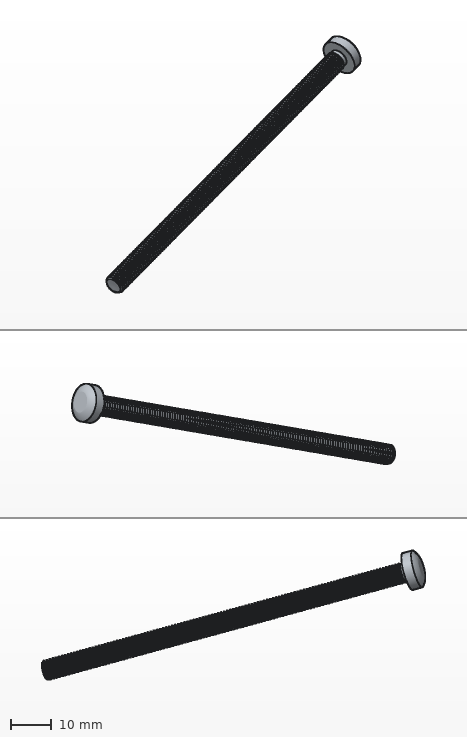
import cadquery as cq
import math

THREAD_DIAMETER = 5.0
PITCH = 0.8
SHANK_LENGTH = 95.0

HEAD_DIAMETER = 9.5
HEAD_HEIGHT = 3.7
HEAD_RIM_HEIGHT = 2.55
HEAD_TOP_DIAMETER = 5.2
HEAD_DOME_RADIUS = 4.0

NECK_DIAMETER = 4.6
NECK_LENGTH = 1.15

TIP_FACE_DIAMETER = 4.2
TIP_DIMPLE_DEPTH = 0.1

MAJOR_RADIUS = THREAD_DIAMETER / 2
FLANK_ANGLE = math.radians(30)
SHARP_HEIGHT = PITCH / (2 * math.tan(FLANK_ANGLE))
THREAD_DEPTH = SHARP_HEIGHT * 5 / 8
MINOR_RADIUS = MAJOR_RADIUS - THREAD_DEPTH
CREST_HALF = PITCH / 16
FOOT_HALF = CREST_HALF + THREAD_DEPTH * math.tan(FLANK_ANGLE)

CREST_PHASE = -0.2
START_ANGLE = -90

OVERRUN = 2 * PITCH

CLEARANCE = 1.0


def turned(outline):
    """Solid of revolution about Z from a closed outline of radius and height points."""
    return outline.close().revolve(360, (0, 0, 0), (0, 1, 0))


def thread_outline(crest_height):
    """Radius and height over one pitch, from the foot of one ridge to the foot of the next."""
    return [
        (MINOR_RADIUS, crest_height - FOOT_HALF),
        (MAJOR_RADIUS, crest_height - CREST_HALF),
        (MAJOR_RADIUS, crest_height + CREST_HALF),
        (MINOR_RADIUS, crest_height + FOOT_HALF),
        (MINOR_RADIUS, crest_height + PITCH - FOOT_HALF),
    ]


def helix_edge(radius, height):
    """One right-hand turn, starting on the XZ plane."""
    return cq.Wire.makeHelix(PITCH, PITCH, radius, cq.Vector(0, 0, height)).Edges()[0]


def turn_faces(crest_height):
    """Helical flank, crest and root faces of one turn."""
    helices = [helix_edge(radius, height) for radius, height in thread_outline(crest_height)]
    return [cq.Face.makeRuledSurface(lower, upper) for lower, upper in zip(helices, helices[1:])]


def end_faces(crest_height):
    """Helical ramp and flat step that close the thread at the start of the turn with this crest."""
    outline = thread_outline(crest_height)
    foot_height = outline[0][1]
    axis_edge = cq.Edge.makeLine(cq.Vector(0, 0, foot_height), cq.Vector(0, 0, foot_height + PITCH))
    ramp = cq.Face.makeRuledSurface(axis_edge, helix_edge(MINOR_RADIUS, foot_height))
    corners = [(0, foot_height)] + outline + [(0, foot_height + PITCH)]
    points = [cq.Vector(radius, 0, height) for radius, height in corners]
    step = cq.Face.makeFromWires(cq.Wire.makePolygon(points, close=True))
    return [ramp, step]


def whole_turns():
    """Threaded rod of whole turns that runs past both ends of the finished thread."""
    turn_count = math.ceil(SHANK_LENGTH / PITCH) + 1
    lowest_crest = CREST_PHASE - turn_count * PITCH
    faces = end_faces(lowest_crest) + end_faces(CREST_PHASE)
    for turn in range(turn_count):
        faces += turn_faces(lowest_crest + turn * PITCH)
    rod = cq.Solid.makeSolid(cq.Shell.makeShell(faces))
    return cq.Workplane(obj=rod).rotate((0, 0, 0), (0, 0, 1), START_ANGLE)


def tip_cutter():
    """Trims the rod to length with a 45 degree chamfer and a shallow conical dimple."""
    tip_radius = TIP_FACE_DIAMETER / 2
    outer_radius = MAJOR_RADIUS + CLEARANCE
    floor = -SHANK_LENGTH - OVERRUN
    return turned(
        cq.Workplane("XZ")
        .moveTo(0, floor)
        .lineTo(outer_radius, floor)
        .lineTo(outer_radius, -SHANK_LENGTH + outer_radius - tip_radius)
        .lineTo(tip_radius, -SHANK_LENGTH)
        .lineTo(0, -SHANK_LENGTH + TIP_DIMPLE_DEPTH)
    )


def neck_cutter():
    """Ends the thread squarely where the neck begins."""
    return (
        cq.Workplane("XY", origin=(0, 0, -NECK_LENGTH))
        .circle(MAJOR_RADIUS + CLEARANCE)
        .extrude(NECK_LENGTH + OVERRUN)
    )


def head_and_neck():
    """Plain neck under a round head with a straight rim, a domed shoulder and a flat top."""
    rim_radius = HEAD_DIAMETER / 2
    neck_radius = NECK_DIAMETER / 2
    return turned(
        cq.Workplane("XZ")
        .moveTo(0, -NECK_LENGTH)
        .lineTo(neck_radius, -NECK_LENGTH)
        .lineTo(neck_radius, 0)
        .lineTo(rim_radius, 0)
        .lineTo(rim_radius, HEAD_RIM_HEIGHT)
        .radiusArc((HEAD_TOP_DIAMETER / 2, HEAD_HEIGHT), -HEAD_DOME_RADIUS)
        .lineTo(0, HEAD_HEIGHT)
    )


thread = whole_turns().cut(tip_cutter()).cut(neck_cutter())
screw = thread.union(head_and_neck())
result = screw.rotate((0, 0, 0), (1, 0, 0), -90).solids()